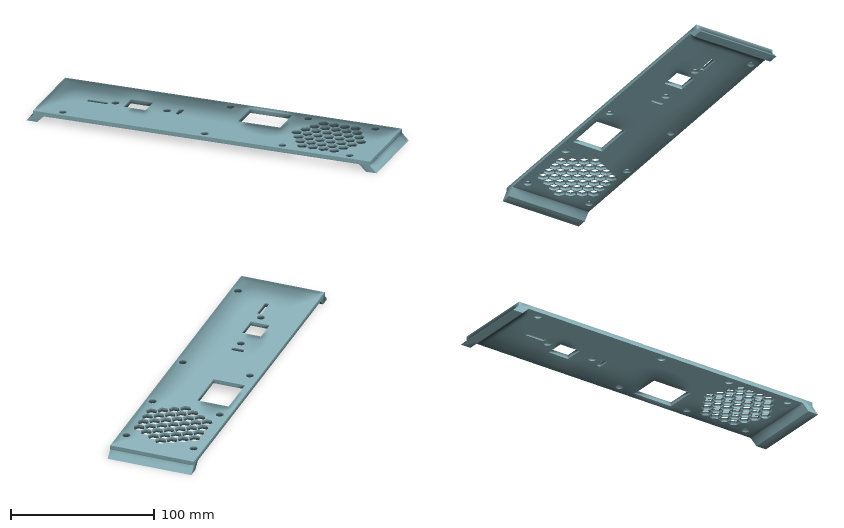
import cadquery as cq
import math

LENGTH = 261.5
WIDTH = 62.5
HEIGHT = 8.0

PLATE_THICKNESS = 3.1
FOOT_WIDTH = 8.0
foot_height = HEIGHT - PLATE_THICKNESS
foot_overhang = foot_height

PATTERN_Y = -0.8

SCREW_HOLE_DIAMETER = 5.5
SCREW_SPACING = 50.2
VENT_X = 83.5
LEFT_SCREW_X = -105.7
MIDDLE_SCREW_X = 0.3

CONNECTOR_HOLES_X = (-77.2, -38.7)
CONNECTOR_HOLES_Y = 2.4

VENT_RINGS = 3
VENT_CELL_WIDTH = 7.0
VENT_WALL = 0.92
vent_pitch = VENT_CELL_WIDTH + VENT_WALL

LARGE_WINDOW = (30.0, 14.5, 31.5, 23.5)
SMALL_WINDOW = (-61.0, 5.0, 16.5, 14.0)
CARD_SLOT = (-89.2, -0.5, 15.2, 3.1)

ROUND_SLOT_X = -29.5
ROUND_SLOT_Y = 3.7
ROUND_SLOT_LENGTH = 9.5
ROUND_SLOT_WIDTH = 3.5


def make_body():
    """Plate with slanted feet, as one profile extruded across the width."""
    foot_outer = LENGTH / 2
    foot_inner = foot_outer - FOOT_WIDTH
    right_half = [
        (foot_inner - foot_overhang, foot_height),
        (foot_inner, 0),
        (foot_outer, 0),
        (foot_outer - foot_overhang, foot_height),
        (foot_outer - foot_overhang, HEIGHT),
    ]
    left_half = [(-x, z) for x, z in reversed(right_half)]
    profile = cq.Workplane("XZ").polyline(right_half + left_half).close()
    return profile.extrude(WIDTH / 2, both=True)


def cutters():
    """Empty sketch plane at the base, from which cutters rise through the plate."""
    return cq.Workplane("XY")


def round_holes():
    half_spacing = SCREW_SPACING / 2
    low_y = PATTERN_Y - half_spacing
    high_y = PATTERN_Y + half_spacing
    points = [(LEFT_SCREW_X, low_y)]
    for x in (MIDDLE_SCREW_X, VENT_X - half_spacing, VENT_X + half_spacing):
        points += [(x, low_y), (x, high_y)]
    points += [(x, CONNECTOR_HOLES_Y) for x in CONNECTOR_HOLES_X]
    return cutters().pushPoints(points).circle(SCREW_HOLE_DIAMETER / 2).extrude(HEIGHT)


def vent_holes():
    """Hexagonal cells, one flat pair facing X, packed into a larger hexagon."""
    row_pitch = vent_pitch * math.sqrt(3) / 2
    cell_diameter = VENT_CELL_WIDTH * 2 / math.sqrt(3)
    centres = []
    for row in range(-VENT_RINGS, VENT_RINGS + 1):
        cells = 2 * VENT_RINGS + 1 - abs(row)
        for cell in range(cells):
            x = (cell - (cells - 1) / 2) * vent_pitch
            centres.append((row * row_pitch, x))
    vent = cutters().pushPoints(centres).polygon(6, cell_diameter).extrude(HEIGHT)
    vent = vent.rotate((0, 0, 0), (0, 0, 1), 90)
    return vent.translate((VENT_X, PATTERN_Y, 0))


def window(x, y, size_x, size_y):
    return cutters().center(x, y).rect(size_x, size_y).extrude(HEIGHT)


def round_slot():
    plane = cutters().center(ROUND_SLOT_X, ROUND_SLOT_Y)
    return plane.slot2D(ROUND_SLOT_LENGTH, ROUND_SLOT_WIDTH, 90).extrude(HEIGHT)


result = make_body().cut(round_holes()).cut(vent_holes()).cut(round_slot())
for opening in (LARGE_WINDOW, SMALL_WINDOW, CARD_SLOT):
    result = result.cut(window(*opening))